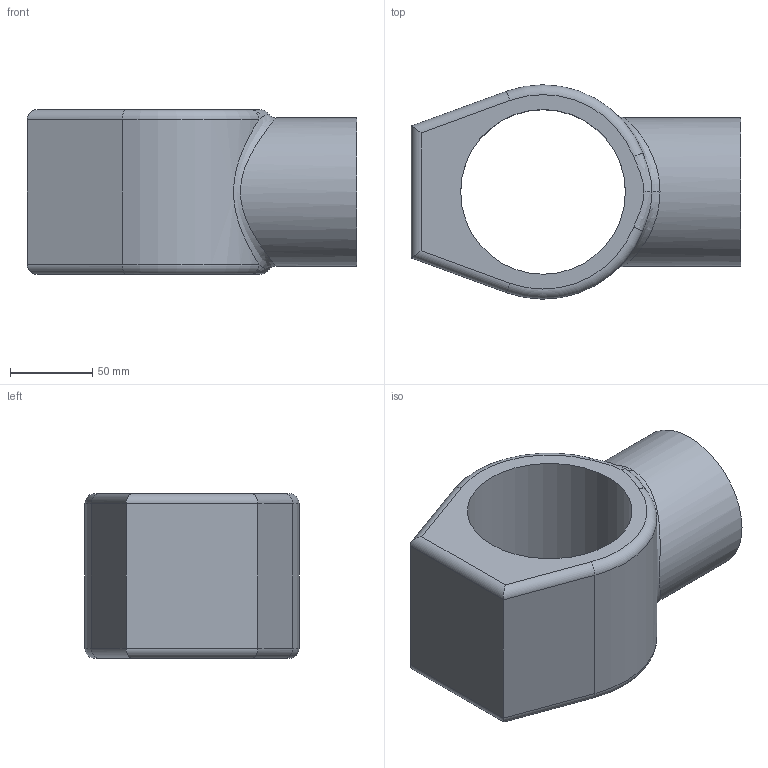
import cadquery as cq
import math

height = 100.0
hub_radius = 65.0
bore_radius = 50.0
flat_face_x = -80.0
flat_face_half_width = 40.0
rim_fillet = 6.0

spigot_radius = 45.0
spigot_end_x = 120.0
junction_fillet = 6.0

trim_allowance = 15.0
blank_height = height + 2 * trim_allowance

corner_distance = math.hypot(flat_face_x, flat_face_half_width)
corner_angle = math.atan2(flat_face_half_width, flat_face_x)
tangent_angle = corner_angle - math.acos(hub_radius / corner_distance)
tangent_x = hub_radius * math.cos(tangent_angle)
tangent_y = hub_radius * math.sin(tangent_angle)


def make_hub_blank():
    """Over-tall tapered hub with sharp edges, centred on mid height."""
    return (
        cq.Workplane("XY")
        .workplane(offset=-blank_height / 2)
        .moveTo(flat_face_x, -flat_face_half_width)
        .lineTo(tangent_x, -tangent_y)
        .threePointArc((hub_radius, 0), (tangent_x, tangent_y))
        .lineTo(flat_face_x, flat_face_half_width)
        .close()
        .extrude(blank_height)
    )


def make_spigot():
    """Solid cylinder from the hub axis to the +X end, split into halves at top and bottom."""
    return (
        cq.Workplane("YZ")
        .moveTo(0, -spigot_radius)
        .threePointArc((spigot_radius, 0), (0, spigot_radius))
        .threePointArc((-spigot_radius, 0), (0, -spigot_radius))
        .close()
        .extrude(spigot_end_x, clean=False)
    )


def round_junction(body):
    """Fillet the closed seam where the spigot leaves the hub."""
    margin = 1.0
    seam_reach = spigot_radius + margin
    seam_box = cq.selectors.BoxSelector(
        (margin, -seam_reach, -seam_reach),
        (hub_radius + margin, seam_reach, seam_reach),
        boundingbox=True,
    )
    return body.edges(seam_box).fillet(junction_fillet)


def trim_to_height(body):
    """Cut the hub ends, and the junction fillet with them, down to the finished height."""
    trim_side = 2 * (spigot_end_x - flat_face_x)
    return body.intersect(cq.Workplane("XY").box(trim_side, trim_side, height), clean=False)


def round_rims(body):
    """Fillet the outlines of the top and bottom faces, including where they meet the junction fillet."""
    return body.faces("<Z or >Z").edges().fillet(rim_fillet)


def cut_bore(body):
    """Through bore along the hub axis."""
    bore = cq.Workplane("XY").workplane(offset=-height / 2).circle(bore_radius).extrude(height)
    return body.cut(bore, clean=False)


joined = make_hub_blank().union(make_spigot(), clean=False)
trimmed = trim_to_height(round_junction(joined))
result = cut_bore(round_rims(trimmed))